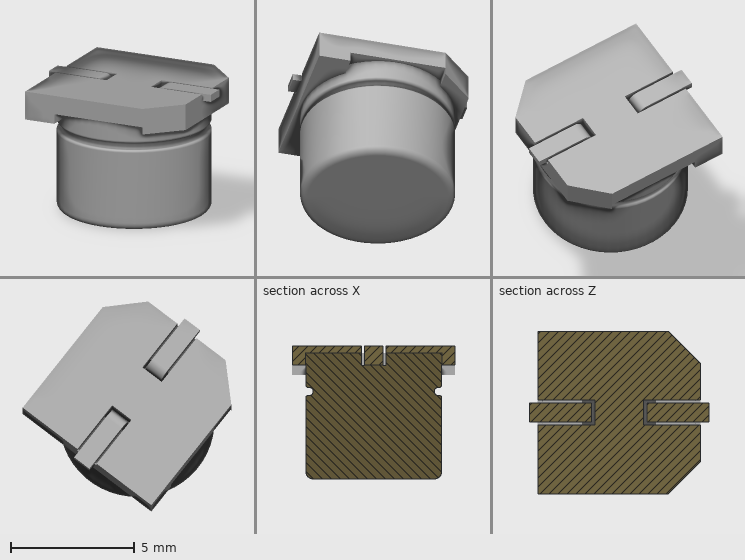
import cadquery as cq

overall_length = 7.3
overall_height = 5.4
base_width = 6.6

plate_thickness = 0.3
layer_depth = 0.78
low_wall_depth = 1.09
high_wall_depth = 1.19
wall_width = 1.315
corner_chamfer = wall_width

lead_width = 0.78
lead_inner_x = 1.1
lead_bend_radius = 0.4
slot_clearance = 0.1
lead_outer_x = overall_length / 2
bend_start_x = lead_inner_x + lead_bend_radius
slot_inner_x = lead_inner_x - slot_clearance
slot_width = lead_width + 2 * slot_clearance

can_radius = 3.145
can_end_round = 0.3
groove_start = 1.69
groove_width = 0.3
groove_depth = 0.25
groove_round = 0.1


def box_between(x_range, y_range, z_range):
    """Axis-aligned box between the given limits."""
    size = [high - low for low, high in (x_range, y_range, z_range)]
    corner = (x_range[0], y_range[0], z_range[0])
    return cq.Workplane("XY").box(*size, centered=False).translate(corner)


def centred(width):
    """Limits of a width centred on zero."""
    return (-width / 2, width / 2)


def make_can():
    """Turned can with a rounded groove and a rounded closed end."""
    groove_end = groove_start + groove_width
    floor_radius = can_radius - groove_depth
    profile = [
        (0, -plate_thickness),
        (can_radius, -plate_thickness),
        (can_radius, -groove_start),
        (floor_radius, -groove_start),
        (floor_radius, -groove_end),
        (can_radius, -groove_end),
        (can_radius, -overall_height),
        (0, -overall_height),
    ]
    can = cq.Workplane("XZ").polyline(profile).close().revolve(360, (0, 0, 0), (0, 1, 0))
    can = can.faces("<Z").edges().fillet(can_end_round)
    margin = groove_round / 2
    span = 2 * base_width
    groove_zone = cq.selectors.BoxSelector(
        (-span, -span, -groove_end - margin), (span, span, -groove_start + margin)
    )
    return can.edges("%CIRCLE").edges(groove_zone).fillet(groove_round)


def make_lead():
    """Lead on the +X side, with its inner end bent down to the bottom of the layer."""
    return (
        cq.Workplane("XZ")
        .moveTo(lead_outer_x, 0)
        .lineTo(bend_start_x, 0)
        .tangentArcPoint((lead_inner_x, -lead_bend_radius), relative=False)
        .lineTo(lead_inner_x, -layer_depth)
        .lineTo(bend_start_x, -layer_depth)
        .lineTo(bend_start_x, -plate_thickness)
        .lineTo(lead_outer_x, -plate_thickness)
        .close()
        .extrude(lead_width / 2, both=True)
    )


def make_slot():
    """Slot for the +X lead, with a deeper well around the bent end."""
    half = base_width / 2
    groove = box_between((slot_inner_x, half), centred(slot_width), (-plate_thickness, 0))
    well = box_between((slot_inner_x, bend_start_x), centred(slot_width), (-layer_depth, 0))
    return groove.union(well)


def both_sides(shape):
    """The shape together with its mirror image on the -X side."""
    return shape.union(shape.mirror("YZ"))


def make_base_blank():
    """Plate with two chamfered corners on the +X side and a deeper wall along each X side."""
    half = base_width / 2
    outline = [
        (-half, -half),
        (half - corner_chamfer, -half),
        (half, corner_chamfer - half),
        (half, half - corner_chamfer),
        (half - corner_chamfer, half),
        (-half, half),
    ]
    blank = cq.Workplane("XY").polyline(outline).close().extrude(-high_wall_depth)
    y_range = centred(base_width)
    wall_inner_x = half - wall_width
    below_layer = box_between((-wall_inner_x, half), y_range, (-high_wall_depth, -layer_depth))
    below_low_wall = box_between((wall_inner_x, half), y_range, (-low_wall_depth, -layer_depth))
    return blank.cut(below_layer.cut(below_low_wall))


def make_base(can, slots):
    """Base recessed for the can, slotted, and carrying both leads."""
    return make_base_blank().cut(can).cut(slots).union(both_sides(make_lead()))


slots = both_sides(make_slot())
full_can = make_can()
can = full_can.cut(slots)
base = make_base(full_can, slots)
result = cq.Compound.makeCompound([base.val(), can.val()])